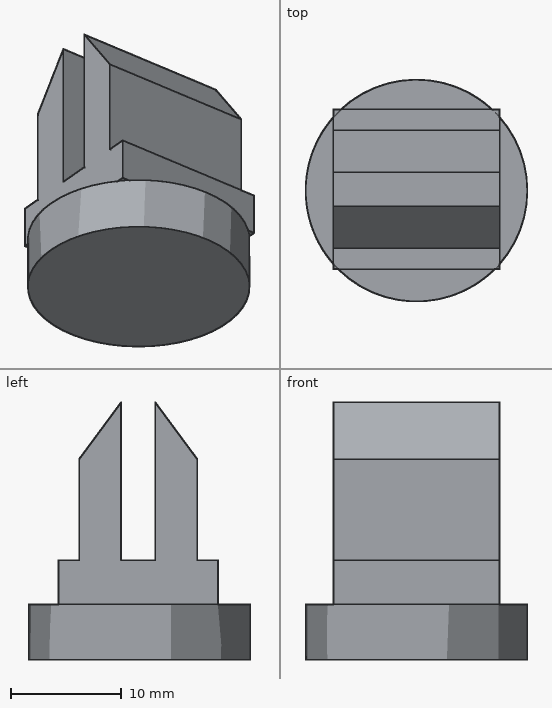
import cadquery as cq

base_diameter = 20.0
base_height = 5.0

length_x = 15.0
block_width = 14.4
block_height = 4.0
block_offset_y = 0.12

prong_thickness = 3.8
slot_width = 3.06
tip_height = 5.14
total_height = 23.24

block_top = base_height + block_height
shoulder_z = total_height - tip_height
slot_half = slot_width / 2
prong_outer = slot_half + prong_thickness


def make_base():
    return cq.Workplane("XY").circle(base_diameter / 2).extrude(base_height)


def make_block():
    return (
        cq.Workplane("XY", origin=(0, block_offset_y, base_height))
        .rect(length_x, block_width)
        .extrude(block_height)
    )


def make_prong(side):
    """Prong on the +Y (side=1) or -Y (side=-1) flank of the slot."""
    profile = [
        (side * slot_half, block_top),
        (side * prong_outer, block_top),
        (side * prong_outer, shoulder_z),
        (side * slot_half, total_height),
    ]
    return (
        cq.Workplane("YZ", origin=(0, block_offset_y, 0))
        .polyline(profile)
        .close()
        .extrude(length_x / 2, both=True)
    )


result = make_base().union(make_block())
for side in (-1, 1):
    result = result.union(make_prong(side))